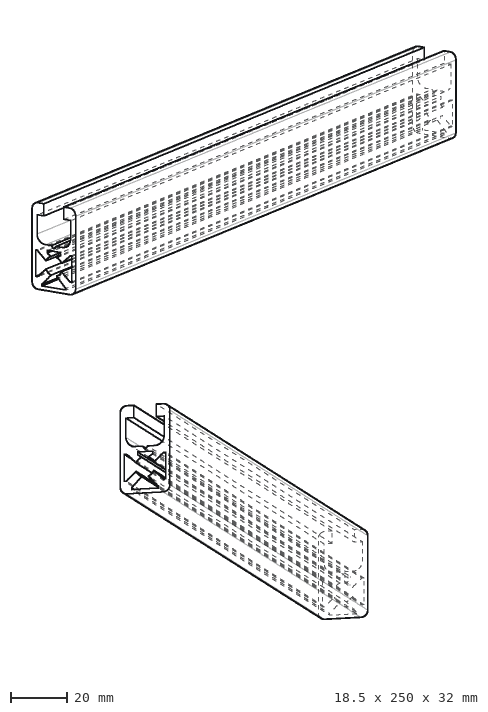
import cadquery as cq

width = 18.5
height = 32.0
length = 250.0
corner_radius = 2.5
half_width = width / 2

slot_opening = 8.3
slot_width = 14.2
lip_thickness = 4.5
slot_floor_z = 17.0
slot_floor_radius = 3.5

groove_width = 2.0
groove_depth = 1.1

core_z = 9.5
core_radius = 3.65
side_wall = 1.6
floor_wall = 1.5

side_pocket_x = half_width - side_wall
side_pocket_outer_height = 9.7
side_pocket_ledge = 0.7
side_pocket_mouth_x = 3.2
side_pocket_mouth_height = 2.9

bottom_pocket_width = 10.0
bottom_pocket_edge_height = 0.6
bottom_pocket_mouth_width = 2.2
bottom_pocket_mouth_z = core_z - 3.4

top_pocket_width = 5.6
top_pocket_z = 15.0
top_pocket_edge_height = 1.0
top_pocket_mouth_width = 2.2
top_pocket_mouth_z = core_z + 3.4


def extrude_profile(sketch):
    """Extrude an XZ profile over the full length, centred on Y = 0."""
    return sketch.extrude(length / 2, both=True)


def prism(points):
    """Prism along Y whose section is the given XZ polygon."""
    sketch = cq.Workplane("XZ").polyline(points).close()
    return extrude_profile(sketch)


def mirrored_prism(right_points):
    """Prism symmetric about X = 0, from its right-hand outline listed from bottom to top."""
    left_points = [(-x, z) for x, z in reversed(right_points)]
    return prism(right_points + left_points)


def make_body():
    sketch = cq.Workplane("XZ").center(0, height / 2).rect(width, height)
    return extrude_profile(sketch).edges("|Y").fillet(corner_radius)


def make_slot():
    lip_z = height - lip_thickness
    chamber_height = lip_z - slot_floor_z
    chamber_z = slot_floor_z + chamber_height / 2
    sketch = cq.Workplane("XZ").center(0, chamber_z).rect(slot_width, chamber_height)
    chamber = extrude_profile(sketch).edges("|Y and <Z").fillet(slot_floor_radius)
    half_opening = slot_opening / 2
    opening = mirrored_prism([(half_opening, lip_z), (half_opening, height)])
    groove = prism([
        (0, slot_floor_z - groove_depth),
        (groove_width / 2, slot_floor_z),
        (-groove_width / 2, slot_floor_z),
    ])
    return chamber.union(opening).union(groove)


def make_side_pocket(side):
    outer_x = side * side_pocket_x
    mouth_x = side * side_pocket_mouth_x
    ledge_x = side * (side_pocket_x - side_pocket_ledge)
    half_outer = side_pocket_outer_height / 2
    half_mouth = side_pocket_mouth_height / 2
    return prism([
        (0, core_z - half_mouth),
        (mouth_x, core_z - half_mouth),
        (ledge_x, core_z - half_outer),
        (outer_x, core_z - half_outer),
        (outer_x, core_z + half_outer),
        (ledge_x, core_z + half_outer),
        (mouth_x, core_z + half_mouth),
        (0, core_z + half_mouth),
    ])


def make_hollow():
    core = extrude_profile(cq.Workplane("XZ").center(0, core_z).circle(core_radius))
    bottom_pocket = mirrored_prism([
        (bottom_pocket_width / 2, floor_wall),
        (bottom_pocket_width / 2, floor_wall + bottom_pocket_edge_height),
        (bottom_pocket_mouth_width / 2, bottom_pocket_mouth_z),
        (bottom_pocket_mouth_width / 2, core_z),
    ])
    top_pocket = mirrored_prism([
        (top_pocket_mouth_width / 2, core_z),
        (top_pocket_mouth_width / 2, top_pocket_mouth_z),
        (top_pocket_width / 2, top_pocket_z - top_pocket_edge_height),
        (top_pocket_width / 2, top_pocket_z),
    ])
    hollow = core.union(bottom_pocket).union(top_pocket)
    for side in (-1, 1):
        hollow = hollow.union(make_side_pocket(side))
    return hollow


result = make_body().cut(make_slot()).cut(make_hollow())